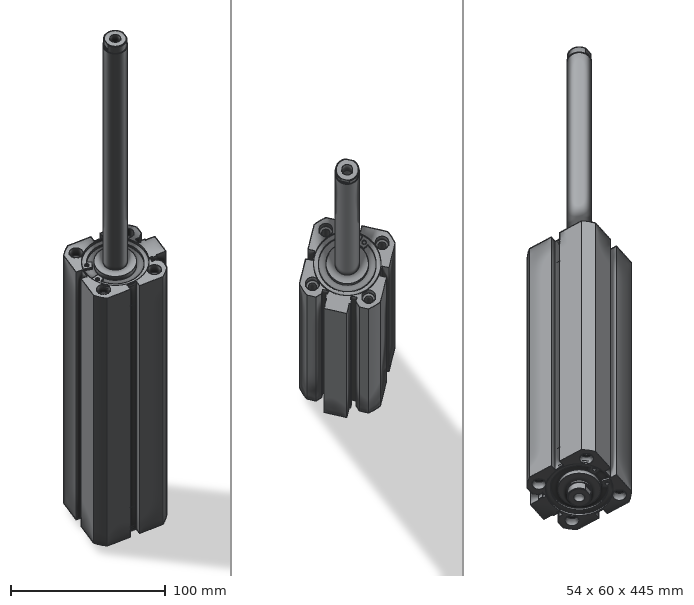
import cadquery as cq
import math

TOTAL_LENGTH = 445.0
BARREL_LENGTH = 230.0
ROD_BELOW = 8.0

BARREL_WIDTH = 54.0
WIDTH_OVER_RAIL = 60.0
CORNER_RADIUS = 34.0
SLOT_WIDTH = 6.5
SLOT_DEPTH = 4.5
RAIL_WIDTH = 15.0
LIP_WIDTH = 17.0
LIP_LOW = 23.0
LIP_HIGH = 26.3
CHANNEL_WIDTH = 22.5
CHANNEL_FLOOR = 21.0
CHANNEL_CHAMFER = 3.0

BORE_RADIUS = 20.0
SEAT_RADIUS = 22.0
BOLT_OFFSET = 18.5
BOLT_HOLE_RADIUS = 2.5
COUNTERBORE_RADIUS = 4.5
COUNTERBORE_DEPTH = 7.0

COVER_LENGTH = 18.0
COVER_RECESS = 3.5
BOSS_RADIUS = 14.0
RING_THICKNESS = 2.0
RING_INNER_RADIUS = 18.5
EAR_INNER_RADIUS = 15.0
EAR_HOLE_RADIUS = 1.5
RING_GAP_ANGLE = 28.0
EAR_ANGLE = 18.0

ROD_RADIUS = 8.0
NECK_RADIUS = 7.5
NECK_LENGTH = 6.2
NECK_CHAMFER = 0.5
FLAT_WIDTH = 14.0
FLAT_LENGTH = 5.0
END_HOLE_RADIUS = 3.5
END_HOLE_DEPTH = 13.5
DRILL_POINT_ANGLE = 118.0

HALF_WIDTH = BARREL_WIDTH / 2
RAIL_TOP = WIDTH_OVER_RAIL - HALF_WIDTH


def make_extrusion():
    """Square bar with corners rounded about its axis and a lipped rail standing in a channel on +Y."""
    half_channel = CHANNEL_WIDTH / 2
    corner_start = math.sqrt(CORNER_RADIUS**2 - HALF_WIDTH**2)
    corner_middle = CORNER_RADIUS * math.sqrt(0.5)
    rail_side = RAIL_WIDTH / 2
    lip_side = LIP_WIDTH / 2
    right_half = (
        cq.Workplane("XY")
        .moveTo(0, -HALF_WIDTH)
        .lineTo(corner_start, -HALF_WIDTH)
        .threePointArc((corner_middle, -corner_middle), (HALF_WIDTH, -corner_start))
        .lineTo(HALF_WIDTH, corner_start)
        .threePointArc((corner_middle, corner_middle), (corner_start, HALF_WIDTH))
        .lineTo(half_channel + CHANNEL_CHAMFER, HALF_WIDTH)
        .lineTo(half_channel, HALF_WIDTH - CHANNEL_CHAMFER)
        .lineTo(half_channel, CHANNEL_FLOOR)
        .lineTo(rail_side, CHANNEL_FLOOR)
        .lineTo(rail_side, LIP_LOW)
        .lineTo(lip_side, LIP_LOW)
        .lineTo(lip_side, LIP_HIGH)
        .lineTo(rail_side, LIP_HIGH)
        .lineTo(rail_side, RAIL_TOP)
        .lineTo(0, RAIL_TOP)
    )
    return right_half.mirrorY().extrude(BARREL_LENGTH)


def sensor_slots():
    """Plain slots along the -X, +X and -Y sides."""
    slots = cq.Workplane("XY")
    for angle in (-90, 0, 180):
        slot = (
            cq.Workplane("XY")
            .box(2 * SLOT_DEPTH, SLOT_WIDTH, BARREL_LENGTH, centered=(True, True, False))
            .translate((HALF_WIDTH, 0, 0))
            .rotate((0, 0, 0), (0, 0, 1), angle)
        )
        slots = slots.add(slot)
    return slots.combine()


def disc(radius, bottom, top):
    """Cylinder on the Z axis between two heights."""
    return cq.Workplane("XY").workplane(offset=bottom).circle(radius).extrude(top - bottom)


def flip_end(shape):
    """Turn a top-end body over to the bottom end of the barrel."""
    return shape.mirror("XY", (0, 0, BARREL_LENGTH / 2))


def make_barrel():
    """Extrusion with a bore, a wider cover seat at each end and counterbored corner holes."""
    barrel = make_extrusion().cut(sensor_slots())
    barrel = barrel.cut(disc(BORE_RADIUS, 0, BARREL_LENGTH))
    seat_floor = BARREL_LENGTH - COVER_RECESS - COVER_LENGTH
    seat = disc(SEAT_RADIUS, seat_floor, BARREL_LENGTH)
    bolts = cq.Workplane("XY").rect(2 * BOLT_OFFSET, 2 * BOLT_OFFSET, forConstruction=True).vertices()
    bolt_holes = bolts.circle(BOLT_HOLE_RADIUS).extrude(BARREL_LENGTH)
    counterbores = bolts.circle(COUNTERBORE_RADIUS).extrude(COUNTERBORE_DEPTH)
    barrel = barrel.cut(seat).cut(flip_end(seat)).cut(bolt_holes)
    return barrel.cut(counterbores).cut(flip_end(counterbores))


def make_cover():
    """Bored cover with a boss that ends flush with the top of the barrel."""
    face = BARREL_LENGTH - COVER_RECESS
    cover = disc(SEAT_RADIUS, face - COVER_LENGTH, face).union(disc(BOSS_RADIUS, face, BARREL_LENGTH))
    return cover.cut(disc(ROD_RADIUS, 0, BARREL_LENGTH))


def polar(radius, angle_from_gap):
    """Point at an angle measured from -Y, positive toward +X."""
    angle = math.radians(angle_from_gap - 90)
    return radius * math.cos(angle), radius * math.sin(angle)


def make_ring():
    """Open retaining ring resting on the cover, with a holed ear on each side of the -Y gap."""
    gap = RING_GAP_ANGLE / 2
    ear_end = gap + EAR_ANGLE
    outline = (
        cq.Workplane("XY")
        .workplane(offset=BARREL_LENGTH - COVER_RECESS)
        .moveTo(*polar(SEAT_RADIUS, gap))
        .threePointArc(polar(SEAT_RADIUS, 180), polar(SEAT_RADIUS, -gap))
        .lineTo(*polar(EAR_INNER_RADIUS, -gap))
        .lineTo(*polar(EAR_INNER_RADIUS, -ear_end))
        .lineTo(*polar(RING_INNER_RADIUS, -ear_end))
        .threePointArc(polar(RING_INNER_RADIUS, 180), polar(RING_INNER_RADIUS, ear_end))
        .lineTo(*polar(EAR_INNER_RADIUS, ear_end))
        .lineTo(*polar(EAR_INNER_RADIUS, gap))
        .close()
    )
    ear_middle = gap + EAR_ANGLE / 2
    hole_distance = (EAR_INNER_RADIUS + SEAT_RADIUS) / 2
    hole_centers = [polar(hole_distance, side * ear_middle) for side in (-1, 1)]
    holes = cq.Workplane("XY").pushPoints(hole_centers).circle(EAR_HOLE_RADIUS).extrude(BARREL_LENGTH)
    return outline.extrude(RING_THICKNESS).cut(holes)


def make_neck():
    """Chamfered neck on Z = 0 with its free end up, and two wrench flats."""
    neck = disc(NECK_RADIUS, 0, NECK_LENGTH).faces(">Z").chamfer(NECK_CHAMFER)
    across_flats = (
        cq.Workplane("XY")
        .workplane(offset=NECK_LENGTH - FLAT_LENGTH)
        .rect(2 * NECK_RADIUS, FLAT_WIDTH)
        .extrude(FLAT_LENGTH)
    )
    root = disc(NECK_RADIUS, 0, NECK_LENGTH - FLAT_LENGTH)
    return neck.intersect(across_flats.union(root))


def end_hole():
    """Drilled hole with a conical point, its mouth on Z = 0."""
    point_depth = END_HOLE_RADIUS / math.tan(math.radians(DRILL_POINT_ANGLE / 2))
    half_section = [
        (0, 0),
        (END_HOLE_RADIUS, 0),
        (END_HOLE_RADIUS, -END_HOLE_DEPTH),
        (0, -END_HOLE_DEPTH - point_depth),
    ]
    return cq.Workplane("XZ").polyline(half_section).close().revolve(360, (0, 0, 0), (0, 1, 0))


def make_rod():
    """Through rod with the same neck and hole at both ends."""
    rod_bottom = -ROD_BELOW
    rod_top = rod_bottom + TOTAL_LENGTH
    middle = (rod_bottom + rod_top) / 2
    neck = make_neck().translate((0, 0, rod_top - NECK_LENGTH))
    hole = end_hole().translate((0, 0, rod_top))
    rod = disc(ROD_RADIUS, rod_bottom + NECK_LENGTH, rod_top - NECK_LENGTH)
    rod = rod.union(neck).union(neck.mirror("XY", (0, 0, middle)))
    return rod.cut(hole).cut(hole.mirror("XY", (0, 0, middle)))


barrel = make_barrel()
rod = make_rod()
top_cover = make_cover()
top_ring = make_ring()
covers = [top_cover, flip_end(top_cover)]
rings = [top_ring, flip_end(top_ring)]

result = cq.Compound.makeCompound(
    [barrel.val(), rod.val()] + [body.val() for body in covers + rings]
)